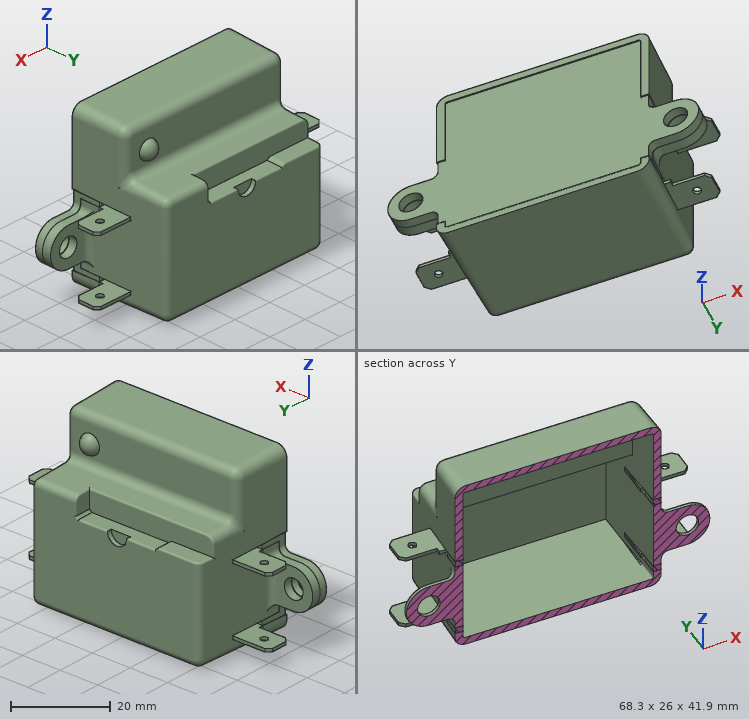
import cadquery as cq
import math


housing_width = 46.74
tall_height = 41.91
tall_depth = 14.7
low_height = 30.17
low_depth = 26.04
draft = 2.0
corner_radius = 2.65
tall_edge_fillet = 2.1
low_edge_fillet = 1.65
step_fillet = 2.0
wall = 1.85
cavity_corner_radius = 0.6

dome_radius = 2.54
dome_x = 16.4
dome_y = 14.17
dome_z = 34.75

notch_end_x = 10.4
notch_y = 21.8
notch_z = 24.85
notch_rim_fillet = 0.45
trough_left_x = -11.55
trough_slope = 0.6
trough_run = 0.95
trough_depth = 0.6
finger_radius = 2.54
finger_x = -0.5
finger_y = 24.85

ear_radius = 5.08
overall_width = 68.33
ear_x = overall_width / 2 - ear_radius
ear_z = 13.17
ear_back_y = 4.55
ear_root_fillet = 1.6
ear_core_margin = 0.1
housing_hole_diameter = 4.95
plate_hole_diameter = 5.25

plate_front_y = 0.25
plate_back_y = 2.25
plate_side_x = 23.15
leg_back_y = 7.5
leg_inner_x = 21.3

terminal_thickness = 0.81
terminal_zs = (4.53, 21.81)
terminal_tip_x = 32.48
terminal_inner_x = 20.9
terminal_front_y = 9.73
terminal_width = 6.35
terminal_back_y = terminal_front_y + terminal_width
terminal_chamfer = 1.1
shoulder_x = 24.4
shoulder_y = 8.63
terminal_hole_x = 28.4
terminal_hole_y = 12.86
terminal_hole_diameter = 1.75

slot_overrun = 1.0
slot_center_z = sum(terminal_zs) / 2
slot_outer_half_front = 9.42
slot_outer_half_back = (terminal_zs[1] - terminal_zs[0] + terminal_thickness) / 2
slot_inner_half_front = 8.03
slot_inner_half_back = slot_outer_half_back - terminal_thickness

sides = (-1, 1)
touch = 0.01


def box(x0, x1, y0, y1, z0, z1):
    """Box between two corners."""
    return cq.Workplane("XY").box(x1 - x0, y1 - y0, z1 - z0, centered=False).translate((x0, y0, z0))


def drafted_block(width, z0, z1, y0, y1, radius):
    """Rounded rectangle standing on the plane y0 and narrowing by the draft angle toward y1."""
    outline = cq.Sketch().rect(width, z1 - z0).vertices().fillet(radius)
    plane = cq.Plane(origin=(0, y0, (z0 + z1) / 2), xDir=(1, 0, 0), normal=(0, 1, 0))
    return cq.Workplane(plane).placeSketch(outline).extrude(y1 - y0, taper=draft)


def along_x(points, x0, x1):
    """Prism of a (y, z) outline between two X positions."""
    return cq.Workplane("YZ", origin=(x0, 0, 0)).polyline(points).close().extrude(x1 - x0)


def ear_pair(y0, y1):
    """Both mounting ears as one bar with round ends."""
    return (
        cq.Workplane("XZ", origin=(0, y1, ear_z))
        .slot2D(2 * (ear_x + ear_radius), 2 * ear_radius)
        .extrude(y1 - y0)
    )


def screw_holes(diameter):
    """Through cutters on both ear centers."""
    return (
        cq.Workplane("XZ", origin=(0, low_depth, ear_z))
        .pushPoints([(side * ear_x, 0) for side in sides])
        .circle(diameter / 2)
        .extrude(2 * low_depth)
    )


def housing_outside():
    """Tall block and deeper low block, joined with a filleted step between them."""
    tall = drafted_block(housing_width, 0, tall_height, 0, tall_depth, corner_radius)
    tall = tall.faces(">Y").edges().fillet(tall_edge_fillet)
    low = drafted_block(housing_width, 0, low_height, 0, low_depth, corner_radius)
    low = low.faces(">Y").edges().fillet(low_edge_fillet)
    outside = tall.union(low)
    shelf_fall = tall_depth * math.tan(math.radians(draft))
    step_z = low_height - shelf_fall
    step_corner = outside.edges("|X").edges(cq.selectors.BoxSelector(
        (-housing_width, tall_depth - touch, step_z - touch),
        (housing_width, tall_depth + touch, step_z + touch),
    ))
    return outside.newObject(step_corner.vals()).fillet(step_fillet)


def cavity():
    """Hollow that follows the outside at wall thickness and steps around the corner notch."""
    width = housing_width - 2 * wall
    tall = drafted_block(width, wall, tall_height - wall, 0, tall_depth - wall, cavity_corner_radius)
    low = drafted_block(width, wall, low_height - wall, 0, low_depth - wall, cavity_corner_radius)
    return tall.union(low).cut(notch(wall))


def notch(margin=0.0):
    """Square notch across the top back edge, open to the -X side, grown inward by the margin."""
    return box(
        -housing_width, notch_end_x + margin,
        notch_y - margin, 2 * low_depth,
        notch_z - margin, low_height,
    )


def round_notch_rim(body):
    """Round the edges where the three notch faces run out to the outside of the block."""
    def is_rim(edge):
        x, y, z = edge.Center().toTuple()
        on_end_wall = abs(x - notch_end_x) < touch
        on_front_wall = abs(y - notch_y) < touch
        on_floor = abs(z - notch_z) < touch
        on_one_face = on_end_wall + on_front_wall + on_floor == 1
        under_front_wall = on_front_wall and z < notch_z
        on_back_face = abs(y - low_depth) < touch
        return on_back_face or (on_one_face and not under_front_wall)

    notch_region = cq.selectors.BoxSelector(
        (-housing_width, notch_y - touch, notch_z - trough_depth - touch),
        (notch_end_x + touch, low_depth + touch, low_height),
    )
    rim = [edge for edge in body.edges(notch_region).vals() if is_rim(edge)]
    return body.newObject(rim).fillet(notch_rim_fillet)


def finger_recess():
    """Half-round recess in the back face at the notch floor."""
    return (
        cq.Workplane("XZ", origin=(finger_x, low_depth, notch_z - trough_depth))
        .circle(finger_radius)
        .extrude(low_depth - finger_y)
    )


def floor_trough():
    """Shallow trough along the notch floor, ending in a stepped slope at each end."""
    return (
        cq.Workplane("XZ", origin=(0, low_depth, notch_z))
        .polyline([
            (trough_left_x, 0),
            (trough_left_x + trough_slope, -trough_depth / 2),
            (trough_left_x + trough_run, -trough_depth),
            (notch_end_x - trough_slope, -trough_depth),
            (notch_end_x, 0),
        ])
        .close()
        .extrude(low_depth - notch_y)
    )


def terminal_slots():
    """Side openings: a wide mouth for the plate lip and two narrowing slots above it."""
    outer = along_x([
        (-slot_overrun, slot_center_z - slot_outer_half_front),
        (0, slot_center_z - slot_outer_half_front),
        (terminal_back_y, slot_center_z - slot_outer_half_back),
        (terminal_back_y, slot_center_z + slot_outer_half_back),
        (0, slot_center_z + slot_outer_half_front),
        (-slot_overrun, slot_center_z + slot_outer_half_front),
    ], -housing_width, housing_width)
    tongue = along_x([
        (plate_back_y, slot_center_z - slot_inner_half_front),
        (low_depth, slot_center_z - slot_inner_half_back),
        (low_depth, slot_center_z + slot_inner_half_back),
        (plate_back_y, slot_center_z + slot_inner_half_front),
    ], -housing_width, housing_width)
    return outer.cut(tongue)


def ear_core_zone(side_x, y0, y1):
    """Slice of the middle of the part, tall enough to carry the ear root fillets."""
    half_height = ear_radius + ear_root_fillet + ear_core_margin
    return box(-side_x, side_x, y0, y1, ear_z - half_height, ear_z + half_height)


def root_ears(core, y0, y1):
    """Join the ears to a core block and fillet the edges where they leave its sides."""
    ears = core.union(ear_pair(y0, y1))
    core_back = core.val().BoundingBox().ymax
    root_zone = cq.selectors.BoxSelector(
        (-ear_x + touch, y0, ear_z - ear_radius - touch),
        (ear_x - touch, min(y1 + touch, core_back - touch), ear_z + ear_radius + touch),
    )
    roots = [
        edge for edge in ears.edges(root_zone).vals()
        if edge.Center().y > y0 + touch
        and abs(abs(edge.Center().x) - plate_side_x) < ear_root_fillet
    ]
    return ears.newObject(roots).fillet(ear_root_fillet)


def housing_body():
    """Hollow cover with corner notch, dome, ears and terminal slots."""
    body = housing_outside()
    body = round_notch_rim(body.cut(notch()).cut(floor_trough()))
    body = body.cut(finger_recess())
    body = body.union(cq.Workplane("XY").sphere(dome_radius).translate((dome_x, dome_y, dome_z)))
    core_back_y = ear_back_y + ear_root_fillet + ear_core_margin
    core = housing_outside().intersect(ear_core_zone(housing_width / 2, plate_back_y, core_back_y))
    body = body.union(root_ears(core, plate_back_y, ear_back_y))
    return body.cut(cavity()).cut(terminal_slots()).cut(screw_holes(housing_hole_diameter))


def base_plate_body():
    """Plate closing the cavity, with ears, side lips and legs that fill the slot mouths."""
    slab = cavity().intersect(
        box(-housing_width, housing_width, plate_front_y, plate_back_y, 0, tall_height))
    lips = terminal_slots().intersect(
        box(-plate_side_x, plate_side_x, plate_front_y, leg_back_y, 0, tall_height))
    legs = lips.cut(box(-leg_inner_x, leg_inner_x, plate_back_y, leg_back_y, 0, tall_height))
    core = ear_core_zone(plate_side_x, plate_front_y, plate_back_y)
    ears = root_ears(core, plate_front_y, plate_back_y)
    return slab.union(legs).union(ears).cut(screw_holes(plate_hole_diameter))


def terminal_body(side, z):
    """Flat blade with chamfered tip corners, a wire hole and a shoulder on its front edge."""
    blade = (
        cq.Workplane("XY", origin=(0, 0, z - terminal_thickness / 2))
        .polyline([
            (terminal_inner_x, shoulder_y),
            (shoulder_x, shoulder_y),
            (shoulder_x, terminal_front_y),
            (terminal_tip_x - terminal_chamfer, terminal_front_y),
            (terminal_tip_x, terminal_front_y + terminal_chamfer),
            (terminal_tip_x, terminal_back_y - terminal_chamfer),
            (terminal_tip_x - terminal_chamfer, terminal_back_y),
            (terminal_inner_x, terminal_back_y),
        ])
        .close()
        .moveTo(terminal_hole_x, terminal_hole_y)
        .circle(terminal_hole_diameter / 2)
        .extrude(terminal_thickness)
    )
    return blade if side > 0 else blade.mirror("YZ")


housing = housing_body()
base_plate = base_plate_body()
terminals = [terminal_body(side, z) for side in sides for z in terminal_zs]

result = cq.Compound.makeCompound([
    housing.val(),
    base_plate.val(),
    *[terminal.val() for terminal in terminals],
])